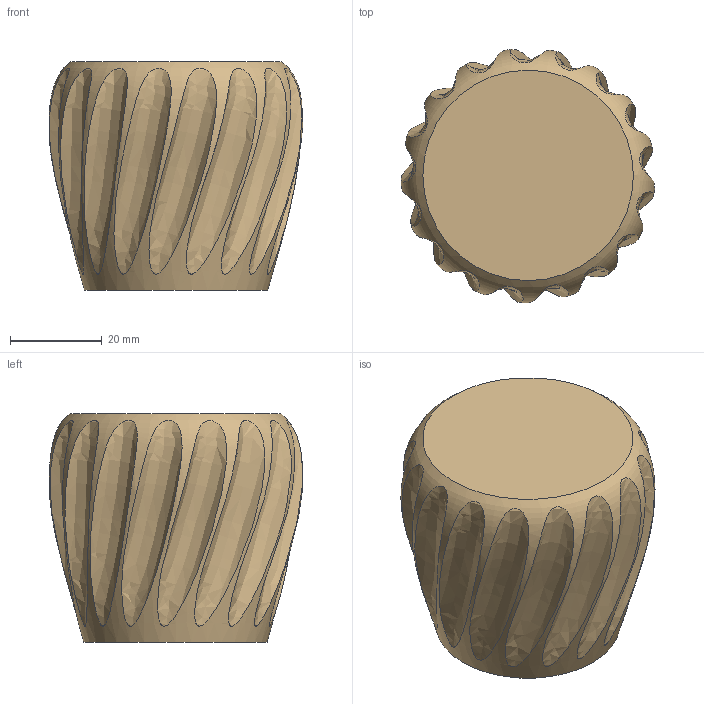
import cadquery as cq
import math

height = 50.0
bottom_radius = 20.0
foot_radius = 22.85
foot_height = 10.0
waist_radius = 25.45
waist_height = 20.0
belly_radius = 27.78
belly_height = 38.0
top_radius = 23.0
rim_inset = 2.0
rim_radius = top_radius + rim_inset
rim_height = height - rim_inset

flute_count = 17
flute_pitch = 360.0 / flute_count
cutter_radius = 4.4
flute_path = [
    (0.0, -14.4, 25.1),
    (12.4, -5.35, 26.07),
    (26.0, 3.5, 27.25),
    (38.0, 9.4, 29.1),
    (45.0, 11.7, 29.4),
    (52.0, 12.3, 28.25),
]


def make_barrel():
    wall_points = [
        (foot_radius, foot_height),
        (waist_radius, waist_height),
        (belly_radius, belly_height),
        (rim_radius, rim_height),
        (top_radius, height),
    ]
    return (
        cq.Workplane("XZ")
        .lineTo(bottom_radius, 0)
        .spline(wall_points, includeCurrent=True)
        .lineTo(0, height)
        .close()
        .revolve(360, (0, 0, 0), (0, 1, 0))
    )


def path_point(point_height, angle, radius):
    turn = math.radians(angle)
    return cq.Vector(radius * math.sin(turn), -radius * math.cos(turn), point_height)


def make_flute_cutter():
    path = cq.Edge.makeSpline([path_point(*station) for station in flute_path])
    start = cq.Plane(origin=path.startPoint(), normal=path.tangentAt(0))
    return cq.Workplane(start).circle(cutter_radius).sweep(cq.Workplane(obj=path)).val()


def cut_flutes(barrel):
    cutter = make_flute_cutter()
    cutters = [
        cutter.rotate((0, 0, 0), (0, 0, 1), index * flute_pitch)
        for index in range(flute_count)
    ]
    return cq.Workplane(obj=barrel.val().cut(*cutters)).solids()


result = cut_flutes(make_barrel())